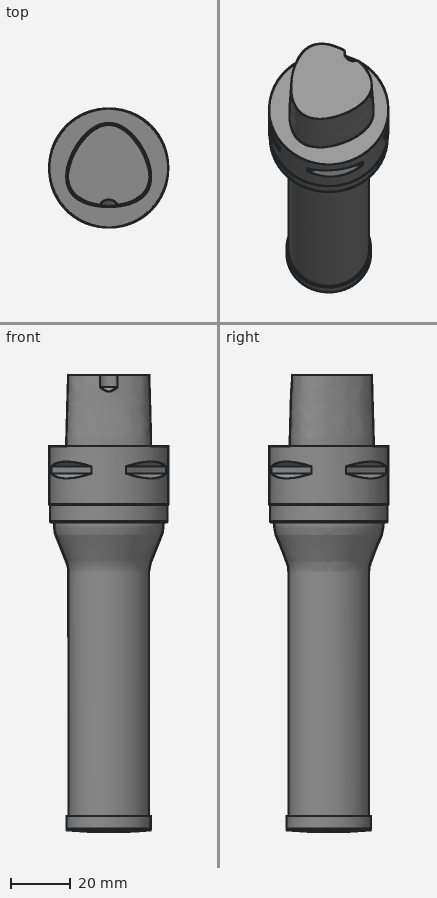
import cadquery as cq
import math

total_height = 153.0
head_top = 5.5
head_chamfer_top = 1.2
head_rim = 0.6
cone_bottom = 88.9
cone_top = 100.7
ring_bottom = 103.6
flange_bottom = 109.4
flange_top = 129.1
taper_start = 131.7

bar_radius = 27.1 / 2
head_radius = 28.3 / 2
head_face_radius = 13.9
neck_radius = 36.5 / 2
ring_radius = 39.5 / 2
flange_radius = 40.0 / 2
ring_chamfer = 0.5
flange_chamfer = 0.38
neck_fillet = 0.38
cone_bottom_blend = 9.2
cone_top_blend = 7.6

shank_base_radius = 14.0
shank_top_radius = 13.5
lobe_offset = 1.0

slot_count = 4
slot_first_angle = 45.0
slot_height = 121.2
slot_floor_distance = 17.6
slot_floor_width = 2.3
slot_flank_angle = 35.0

keyway_radius = 3.2
keyway_axis_y = -13.8
keyway_rim = 148.9
keyway_point_depth = 2.3


def cylinder(radius, bottom, top):
    return cq.Workplane("XY").workplane(offset=bottom).circle(radius).extrude(top - bottom)


def make_turned_body():
    """Bar, blended cone, ring and flange, turned about Z."""
    cone_and_bar = (
        cq.Workplane("XZ")
        .moveTo(0, head_top)
        .lineTo(bar_radius, head_top)
        .lineTo(bar_radius, cone_bottom)
        .lineTo(neck_radius, cone_top)
        .lineTo(neck_radius, ring_bottom)
        .lineTo(0, ring_bottom)
        .close()
        .revolve(360, (0, 0, 0), (0, 1, 0))
    )
    for height, blend in ((cone_bottom, cone_bottom_blend), (cone_top, cone_top_blend)):
        rim = cq.selectors.NearestToPointSelector((0, 0, height))
        cone_and_bar = cone_and_bar.edges(rim).fillet(blend)
    ring = cylinder(ring_radius, ring_bottom, flange_bottom).faces("<Z").chamfer(ring_chamfer)
    flange = cylinder(flange_radius, flange_bottom, flange_top)
    flange = flange.faces("<Z").chamfer(flange_chamfer, flange_radius - ring_radius)
    turned = cone_and_bar.union(ring).union(flange)
    neck_corner = cq.selectors.BoxSelector(
        (-neck_fillet, -neck_fillet, ring_bottom - neck_fillet),
        (neck_fillet, neck_fillet, ring_bottom + neck_fillet),
    )
    neck_edges = turned.edges(neck_corner).edges(cq.selectors.RadiusNthSelector(0))
    return neck_edges.fillet(neck_fillet)


def lobed_outline(mean_radius, height):
    """Closed three-lobed curve with one lobe pointing toward +Y."""
    def point(t):
        x = mean_radius * math.sin(t) - lobe_offset * math.sin(2 * t)
        y = mean_radius * math.cos(t) + lobe_offset * math.cos(2 * t)
        return cq.Vector(x, y, height)

    point_count = 36
    points = [point(2 * math.pi * i / point_count) for i in range(point_count)]
    return cq.Wire.assembleEdges([cq.Edge.makeSpline(points, periodic=True)])


def make_shank():
    """Straight lobed foot with the tapered lobed shank above it."""
    foot = lobed_outline(shank_base_radius, flange_top)
    taper_base = lobed_outline(shank_base_radius, taper_start)
    top = lobed_outline(shank_top_radius, total_height)
    straight = cq.Workplane(cq.Solid.makeLoft([foot, taper_base], True))
    tapered = cq.Workplane(cq.Solid.makeLoft([taper_base, top], True))
    return straight.union(tapered)


def make_slot_cutter(angle):
    """Trapezoidal groove that widens outward, on a chord of the flange."""
    depth = flange_radius - slot_floor_distance
    floor_half = slot_floor_width / 2
    mouth_half = floor_half + depth * math.tan(math.radians(slot_flank_angle))
    return (
        cq.Workplane("XZ")
        .polyline([
            (slot_floor_distance, slot_height - floor_half),
            (flange_radius, slot_height - mouth_half),
            (flange_radius, slot_height + mouth_half),
            (slot_floor_distance, slot_height + floor_half),
        ])
        .close()
        .extrude(flange_radius, both=True)
        .rotate((0, 0, 0), (0, 0, 1), angle)
    )


def make_keyway_cutter():
    """Drill shape: a cylinder with a conical point below it."""
    return (
        cq.Workplane("XZ")
        .polyline([
            (0, keyway_rim - keyway_point_depth),
            (keyway_radius, keyway_rim),
            (keyway_radius, total_height),
            (0, total_height),
        ])
        .close()
        .revolve(360, (0, 0, 0), (0, 1, 0))
        .translate((0, keyway_axis_y, 0))
    )


def make_holder():
    holder = make_turned_body().union(make_shank())
    for i in range(slot_count):
        holder = holder.cut(make_slot_cutter(slot_first_angle + i * 360 / slot_count))
    return holder.cut(make_keyway_cutter())


def make_cutting_head():
    """Short collar at the end of the bar with a bevelled rim and a shallow domed face."""
    dome_radius = (head_face_radius**2 + head_rim**2) / (2 * head_rim)
    middle_x = head_face_radius / 2
    middle_z = dome_radius - math.sqrt(dome_radius**2 - middle_x**2)
    return (
        cq.Workplane("XZ")
        .threePointArc((middle_x, middle_z), (head_face_radius, head_rim))
        .lineTo(head_radius, head_chamfer_top)
        .lineTo(head_radius, head_top)
        .lineTo(0, head_top)
        .close()
        .revolve(360, (0, 0, 0), (0, 1, 0))
    )


holder = make_holder()
cutting_head = make_cutting_head()

result = cq.Compound.makeCompound([holder.val(), cutting_head.val()])